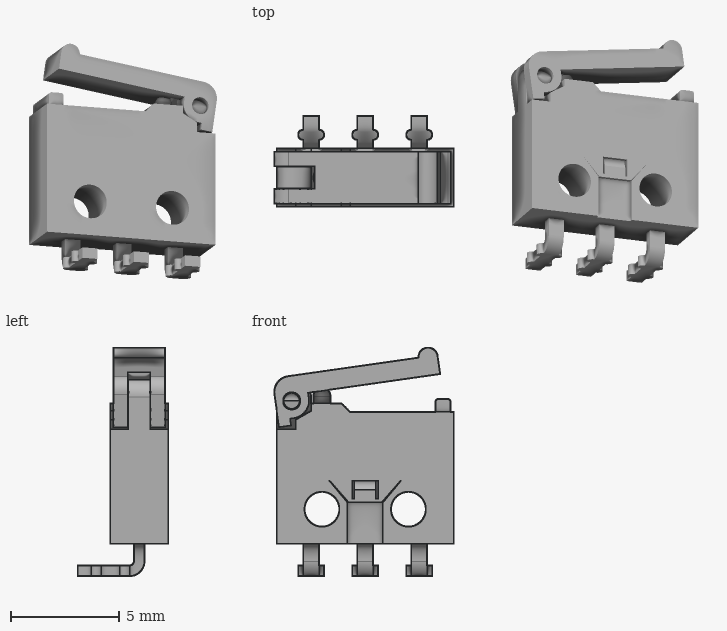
import cadquery as cq
import math


DIAGONAL = math.sqrt(0.5)

BODY_LENGTH = 8.2
BODY_WIDTH = 2.7
BODY_HEIGHT = 6.1
BODY_LEFT = -BODY_LENGTH / 2
BODY_FRONT = -BODY_WIDTH / 2
SHOULDER_HEIGHT = 6.5
SHOULDER_LENGTH = 3.0

MOUNT_HOLE_DIAMETER = 1.6
MOUNT_HOLE_PITCH = 4.0
MOUNT_HOLE_HEIGHT = 1.6

POST_RADIUS = 0.8
POST_WIDTH = 1.0
POST_CENTRE_HEIGHT = 6.8
RECESS_FLOOR = 5.3
RECESS_STEP_LENGTH = 0.9
RECESS_STEP_HEIGHT = 5.75
RECESS_SLOPE_TOP = 6.15
RECESS_LENGTH = 2 * POST_RADIUS

PIN_DIAMETER = 0.74
PIN_LENGTH = 2.0
PIVOT_X = BODY_LEFT + 0.7
PIVOT_Z = 6.61

PLUNGER_DIAMETER = 0.8
PLUNGER_X = BODY_LEFT + 2.1
PLUNGER_STRAIGHT_TOP = 6.83

STOP_LENGTH = 0.7
STOP_WIDTH = 2.4
STOP_TOP = 6.7
STOP_END_GAP = 0.15
STOP_FILLET = 0.12

SEAT_WIDTH = 1.65
SEAT_HEIGHT = 1.93
SEAT_DEPTH = 0.2
SLIT_TOP_SPREAD = 3.3
SLIT_MOUTH = 0.04
LATCH_WIDTH = 1.0
LATCH_SLOT_WIDTH = 0.1
LATCH_BOTTOM = 2.09
LATCH_TOP = 2.92
LATCH_RAMP_BOTTOM = 2.5
LATCH_DEPTH = 0.2

TERMINAL_PITCH = 2.5
TERMINAL_WIDTH = 0.74
TERMINAL_THICKNESS = 0.5
TERMINAL_DROP = 1.5
TERMINAL_REACH = 1.5
BEND_INNER_RADIUS = 0.2
TERMINAL_TIP = BODY_WIDTH / 2 + TERMINAL_REACH
EAR_RADIUS = 0.235
EAR_TIP_DISTANCES = (0.87, 2.18)

LEVER_TILT = 8.1
LEVER_WIDTH = 2.4
LEVER_HOLE_DIAMETER = 0.8
HUB_RADIUS = 0.8
ARM_BOTTOM = 0.26
ARM_THICKNESS = 0.9
ARM_END = 6.98
HEEL_OFFSET = 0.75
HEEL_RADIUS = 0.75
TOE_BOTTOM = -1.12
TOE_INNER = -0.19
NUB_RADIUS = 0.45
NUB_HEIGHT = 1.3
FORK_GAP = 1.04
FORK_END = 1.24


def prism_along_y(outline, y_min, y_max):
    """Extrude a closed XZ outline between two Y positions."""
    return outline.extrude(y_max - y_min).translate((0, y_max, 0))


def block(x_min, x_max, y_min, y_max, z_min, z_max):
    """Axis-aligned box given by its limits."""
    size = (x_max - x_min, y_max - y_min, z_max - z_min)
    return cq.Workplane("XY").box(*size, centered=False).translate((x_min, y_min, z_min))


def make_case():
    """Body with its raised shoulder and the stepped clearance at the hinge end."""
    slope_run = SHOULDER_HEIGHT - BODY_HEIGHT
    outline = (
        cq.Workplane("XZ")
        .moveTo(BODY_LEFT, 0)
        .lineTo(-BODY_LEFT, 0)
        .lineTo(-BODY_LEFT, BODY_HEIGHT)
        .lineTo(BODY_LEFT + SHOULDER_LENGTH + slope_run, BODY_HEIGHT)
        .lineTo(BODY_LEFT + SHOULDER_LENGTH, SHOULDER_HEIGHT)
        .lineTo(BODY_LEFT + RECESS_LENGTH, SHOULDER_HEIGHT)
        .lineTo(BODY_LEFT + RECESS_LENGTH, RECESS_SLOPE_TOP)
        .lineTo(BODY_LEFT + RECESS_STEP_LENGTH, RECESS_STEP_HEIGHT)
        .lineTo(BODY_LEFT + RECESS_STEP_LENGTH, RECESS_FLOOR)
        .lineTo(BODY_LEFT, RECESS_FLOOR)
        .close()
    )
    return prism_along_y(outline, BODY_FRONT, -BODY_FRONT)


def make_hinge_post():
    """Central post with a round top that carries the hinge pin."""
    post_right = BODY_LEFT + 2 * POST_RADIUS
    post_top = POST_CENTRE_HEIGHT + POST_RADIUS
    outline = (
        cq.Workplane("XZ")
        .moveTo(BODY_LEFT, RECESS_FLOOR)
        .lineTo(post_right, RECESS_FLOOR)
        .lineTo(post_right, POST_CENTRE_HEIGHT)
        .threePointArc((BODY_LEFT + POST_RADIUS, post_top), (BODY_LEFT, POST_CENTRE_HEIGHT))
        .close()
    )
    return prism_along_y(outline, -POST_WIDTH / 2, POST_WIDTH / 2)


def make_hinge_pin():
    """Pin through the post; the upper half of each end is cut back at 45 degrees."""
    pin_radius = PIN_DIAMETER / 2
    pin_end = PIN_LENGTH / 2
    blank = prism_along_y(cq.Workplane("XZ").circle(pin_radius), -pin_end, pin_end)
    bevel = (
        cq.Workplane("YZ")
        .moveTo(-pin_end, 0)
        .lineTo(-pin_end + pin_radius, pin_radius)
        .lineTo(-pin_end, pin_radius)
        .close()
        .extrude(pin_radius, both=True)
    )
    pin = blank.cut(bevel).cut(bevel.mirror("XZ"))
    return pin.translate((PIVOT_X, 0, PIVOT_Z))


def make_plunger():
    """Round plunger with a hemispherical tip that bears against the lever."""
    radius = PLUNGER_DIAMETER / 2
    stem = (
        cq.Workplane("XY", origin=(PLUNGER_X, 0, BODY_HEIGHT))
        .circle(radius)
        .extrude(PLUNGER_STRAIGHT_TOP - BODY_HEIGHT)
    )
    tip = cq.Workplane("XY").sphere(radius).translate((PLUNGER_X, 0, PLUNGER_STRAIGHT_TOP))
    return stem.union(tip)


def make_stop_block():
    """Block that limits the lever travel, rounded along its two top edges."""
    stop_right = -BODY_LEFT - STOP_END_GAP
    stop = block(
        stop_right - STOP_LENGTH, stop_right,
        -STOP_WIDTH / 2, STOP_WIDTH / 2,
        BODY_HEIGHT, STOP_TOP,
    )
    return stop.faces(">Z").edges("|Y").fillet(STOP_FILLET)


def make_mounting_holes():
    """Two holes through the full width of the body."""
    holes = (
        cq.Workplane("XZ")
        .pushPoints([(side * MOUNT_HOLE_PITCH / 2, MOUNT_HOLE_HEIGHT) for side in (-1, 1)])
        .circle(MOUNT_HOLE_DIAMETER / 2)
    )
    return prism_along_y(holes, BODY_FRONT, -BODY_FRONT)


def make_tab_seat():
    """Seat open at the underside, with a slit flaring up to a point from each top corner."""
    seat_floor = BODY_FRONT + SEAT_DEPTH
    cutter = block(-SEAT_WIDTH / 2, SEAT_WIDTH / 2, BODY_FRONT, seat_floor, 0, SEAT_HEIGHT)
    for side in (-1, 1):
        slit = cq.Workplane("XZ").polyline([
            (side * SEAT_WIDTH / 2, SEAT_HEIGHT),
            (side * SLIT_TOP_SPREAD / 2, LATCH_TOP),
            (side * (SEAT_WIDTH / 2 - SLIT_MOUTH), SEAT_HEIGHT),
        ]).close()
        cutter = cutter.union(prism_along_y(slit, BODY_FRONT, seat_floor))
    return cutter


def make_latch_window():
    """Two narrow slots joined by a ramp that leaves a latch tongue between them."""
    window = (
        cq.Workplane("YZ")
        .moveTo(BODY_FRONT, LATCH_RAMP_BOTTOM)
        .lineTo(BODY_FRONT, LATCH_TOP)
        .lineTo(BODY_FRONT + LATCH_DEPTH, LATCH_TOP)
        .close()
        .extrude(LATCH_WIDTH / 2, both=True)
    )
    slot_offset = (LATCH_WIDTH + LATCH_SLOT_WIDTH) / 2
    for side in (-1, 1):
        slot_centre = side * slot_offset
        slot = block(
            slot_centre - LATCH_SLOT_WIDTH / 2, slot_centre + LATCH_SLOT_WIDTH / 2,
            BODY_FRONT, BODY_FRONT + LATCH_DEPTH,
            LATCH_BOTTOM, LATCH_TOP,
        )
        window = window.union(slot)
    return window


def make_terminal(x_centre):
    """Bent strip that leaves the underside and turns toward +Y, with two pairs of ears."""
    half_thickness = TERMINAL_THICKNESS / 2
    outer_radius = BEND_INNER_RADIUS + TERMINAL_THICKNESS
    foot_top = TERMINAL_THICKNESS - TERMINAL_DROP
    bend_y = half_thickness + BEND_INNER_RADIUS
    bend_z = foot_top + BEND_INNER_RADIUS
    strip = (
        cq.Workplane("YZ")
        .moveTo(-half_thickness, 0)
        .lineTo(-half_thickness, bend_z)
        .threePointArc(
            (bend_y - outer_radius * DIAGONAL, bend_z - outer_radius * DIAGONAL),
            (bend_y, -TERMINAL_DROP),
        )
        .lineTo(TERMINAL_TIP, -TERMINAL_DROP)
        .lineTo(TERMINAL_TIP, foot_top)
        .lineTo(bend_y, foot_top)
        .threePointArc(
            (bend_y - BEND_INNER_RADIUS * DIAGONAL, bend_z - BEND_INNER_RADIUS * DIAGONAL),
            (half_thickness, bend_z),
        )
        .lineTo(half_thickness, 0)
        .close()
        .extrude(TERMINAL_WIDTH / 2, both=True)
    )
    ear_centres = [
        (side * TERMINAL_WIDTH / 2, TERMINAL_TIP - distance)
        for side in (-1, 1)
        for distance in EAR_TIP_DISTANCES
    ]
    ears = (
        cq.Workplane("XY", origin=(0, 0, -TERMINAL_DROP))
        .pushPoints(ear_centres)
        .circle(EAR_RADIUS)
        .extrude(TERMINAL_THICKNESS)
    )
    return strip.union(ears).translate((x_centre, 0, 0))


def make_lever():
    """Forked lever: hub and toe around the pivot, straight arm and a round nub at its end."""
    arm_top = ARM_BOTTOM + ARM_THICKNESS
    nub_centre_height = ARM_BOTTOM + NUB_HEIGHT - NUB_RADIUS
    nub_centre = ARM_END - NUB_RADIUS
    heel_centre = (HEEL_RADIUS - HEEL_OFFSET, arm_top - HEEL_RADIUS)
    outline = (
        cq.Workplane("XZ")
        .moveTo(-HEEL_OFFSET, TOE_BOTTOM)
        .lineTo(TOE_INNER, TOE_BOTTOM)
        .lineTo(TOE_INNER, -HUB_RADIUS)
        .lineTo(0, -HUB_RADIUS)
        .threePointArc((HUB_RADIUS * DIAGONAL, -HUB_RADIUS * DIAGONAL), (HUB_RADIUS, 0))
        .lineTo(HUB_RADIUS, ARM_BOTTOM)
        .lineTo(ARM_END, ARM_BOTTOM)
        .lineTo(ARM_END, arm_top)
        .lineTo(heel_centre[0], arm_top)
        .threePointArc(
            (heel_centre[0] - HEEL_RADIUS * DIAGONAL, heel_centre[1] + HEEL_RADIUS * DIAGONAL),
            (-HEEL_OFFSET, heel_centre[1]),
        )
        .close()
    )
    half_width = LEVER_WIDTH / 2
    lever = prism_along_y(outline, -half_width, half_width)
    nub = cq.Workplane("XZ").center(nub_centre, nub_centre_height).circle(NUB_RADIUS)
    hole = cq.Workplane("XZ").circle(LEVER_HOLE_DIAMETER / 2)
    fork_slot = block(
        -HEEL_OFFSET, FORK_END,
        -FORK_GAP / 2, FORK_GAP / 2,
        TOE_BOTTOM, arm_top,
    )
    lever = lever.union(prism_along_y(nub, -half_width, half_width))
    lever = lever.cut(prism_along_y(hole, -half_width, half_width)).cut(fork_slot)
    tilted = lever.rotate((0, 0, 0), (0, 1, 0), -LEVER_TILT)
    return tilted.translate((PIVOT_X, 0, PIVOT_Z))


body = make_case().union(make_hinge_post()).union(make_stop_block())
body = body.cut(make_mounting_holes()).cut(make_tab_seat()).cut(make_latch_window())
for position in (-1, 0, 1):
    body = body.union(make_terminal(position * TERMINAL_PITCH))

result = body.union(make_hinge_pin()).union(make_plunger()).union(make_lever())